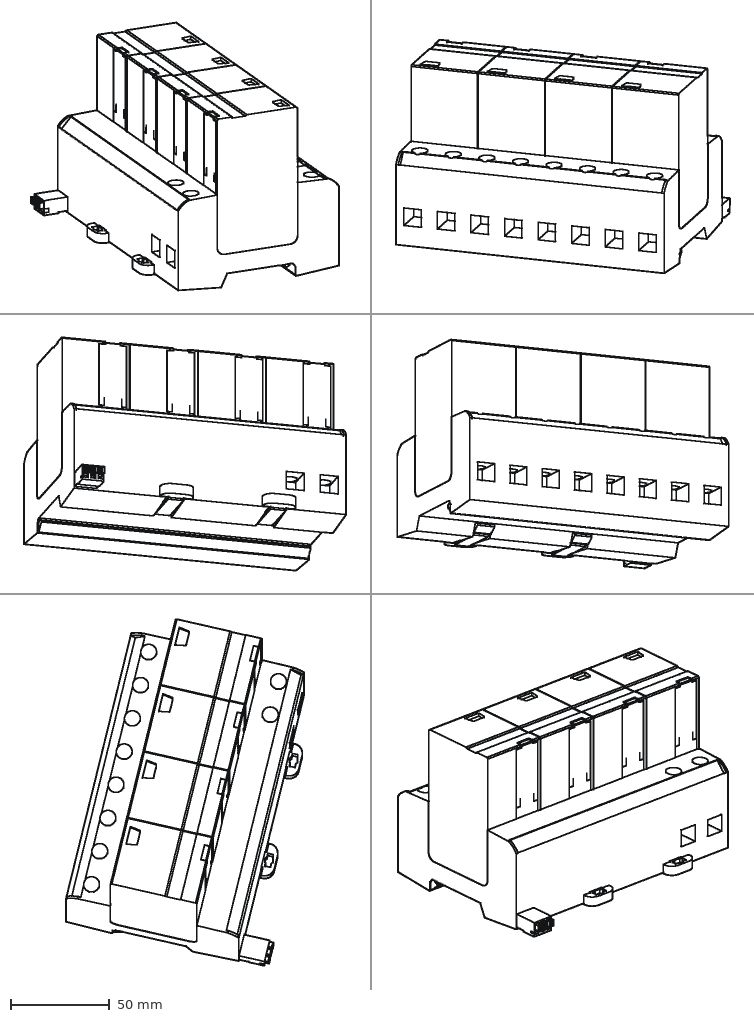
import cadquery as cq


LENGTH = 144.0
HALF_DEPTH = 45.0
HEIGHT = 90.7
SHOULDER_Z = 44.8
DECK_EDGE_Z = 49.5
DECK_INNER_Z = 50.1
CORNER_Y = 39.3
CORNER_MID = (42.6, 47.5)
FOOT_Z = 2.0
RAIL_BACK_Y = 20.9
RAIL_FRONT_Y = -21.0
RAIL_CEILING_Z = 7.0
RAIL_FRONT_TOP_Y = -17.5
RAIL_BACK_TOP_Y = 19.2
RAIL_BACK_KNEE_Z = 4.9

FLANGE = 1.3
BEVEL_TOP_Z = 49.2
FRONT_BEVEL = [(-38.3, BEVEL_TOP_Z), (-43.8, 43.2), (-HALF_DEPTH, SHOULDER_Z)]
BACK_BEVEL = [(37.6, BEVEL_TOP_Z), (42.6, 42.6), (HALF_DEPTH, SHOULDER_Z)]

MODULE_COUNT = 4
PITCH = LENGTH / MODULE_COUNT
MODULE_INSET = 0.22
MODULE_BACK_Y = 21.9
MODULE_FRONT_Y = -23.2
MODULE_FLOOR_Z = 17.5
MODULE_CORNER_R = 4.2
TOP_CHAMFER = 0.7
DIP_BACK_Y = -6.5
DIP_FRONT_Y = -14.7
DIP_SLOPE = 1.0
DIP_DEPTH = 0.6

PANEL_X = (19.7, 34.3)
PANEL_DEPTH = 0.3
CAP_DEPTH = 0.1
PANEL_TOP_Z = 89.0
CAP_Z = 56.2
CAP_TAB_X = (22.5, 31.7)
CAP_TAB_TOP_Z = 60.3
CAP_TAB_BEVEL = 1.2
NOTCH_X = (23.2, 31.1)
NOTCH_BACK_Y = -19.9
NOTCH_EDGE_Y = -22.3
NOTCH_BACK_Z = 90.1
NOTCH_FRONT_Z = 89.7

WINDOW_BACK_X = (22.3, 31.8)
WINDOW_FRONT_X = (23.2, 31.0)
WINDOW_Y = (13.5, 19.0)
WINDOW_DEPTH = 1.7
WINDOW_CORNER_R = 0.9

TERMINAL_PITCH = PITCH / 2
TERMINAL_COUNT = 2 * MODULE_COUNT
FRONT_TERMINALS = (6, 7)
SCREW_Y = 33.8
SCREW_R = 4.0
WIRE_SIZE = 9.4
WIRE_Z = 17.4
WIRE_DEPTH = HALF_DEPTH - SCREW_Y + SCREW_R

CLIP_X = (53.9, 108.0)
CLIP_WIDTH = 17.3
CLIP_FRONT_Y = -51.7
CLIP_CORNER_R = 5.0
CLIP_TOP_Z = 7.2
CLIP_GAP = 0.7
CLIP_NECK_WIDTH = 8.0
CLIP_HOLE_Y = -48.1
CLIP_HOLE_R = 2.2
CLIP_SLOT = (6.9, 2.9)
CLIP_HOLE_DEPTH = 4.3
HOOK_WIDTH = 9.5
TONGUE_WIDTH = 8.0
TONGUE_Z = 1.0
CLIP_HOOK = [
    (RAIL_FRONT_Y, FOOT_Z),
    (-19.6, FOOT_Z),
    (-15.1, 4.8),
    (-15.1, 5.8),
    (-15.8, 6.3),
    (RAIL_FRONT_Y, 6.3),
]

FIXED_HOOK = [
    (21.3, 0.5),
    (20.6, 0.5),
    (15.8, 4.3),
    (15.8, 5.2),
    (17.7, 6.0),
    (17.7, RAIL_CEILING_Z),
    (21.3, RAIL_CEILING_Z),
]
FIXED_HOOK_INSET = 0.7

PLUG_X = (0.5, 12.0)
PLUG_FRONT_Y = -58.3
PLUG_Z = (2.5, 10.5)
PLUG_EDGE_Y = -55.5
PLUG_EDGE_DROP = 0.1
PLUG_STEP_Y = -50.1
PLUG_STEP_Z = 3.0
PLUG_GROOVE_Y = -55.7
PLUG_GROOVE_Z = (4.0, 4.6)
PLUG_GROOVE_DEPTH = 0.3
LEVER_X = (2.5, 6.3, 10.2)
LEVER_WIDTH = 2.7
LEVER_TIP_Y = -60.6
LEVER_Z = (6.0, 9.4)
LEVER_SLOT = 0.9
LEVER_SLOT_DEPTH = 0.6
PORT_WIDTH = 2.5
PORT_Z = (3.7, 5.8)
PORT_DEPTH = 2.9


def box(x_range, y_range, z_range):
    size = [high - low for low, high in (x_range, y_range, z_range)]
    corner = (x_range[0], y_range[0], z_range[0])
    return cq.Workplane("XY").box(*size, centered=False).translate(corner)


def around(middle, width):
    return (middle - width / 2, middle + width / 2)


def prism(points, x_range):
    """Extrude a closed Y-Z outline along X."""
    outline = cq.Workplane("YZ", origin=(x_range[0], 0, 0)).polyline(points).close()
    return outline.extrude(x_range[1] - x_range[0])


def make_housing():
    mid_y, mid_z = CORNER_MID
    outline = (
        cq.Workplane("YZ")
        .moveTo(RAIL_BACK_Y, 0)
        .lineTo(HALF_DEPTH, FOOT_Z)
        .lineTo(HALF_DEPTH, SHOULDER_Z)
        .threePointArc((mid_y, mid_z), (CORNER_Y, DECK_EDGE_Z))
        .lineTo(MODULE_BACK_Y, DECK_INNER_Z)
        .lineTo(MODULE_FRONT_Y, DECK_INNER_Z)
        .lineTo(-CORNER_Y, DECK_EDGE_Z)
        .threePointArc((-mid_y, mid_z), (-HALF_DEPTH, SHOULDER_Z))
        .lineTo(-HALF_DEPTH, FOOT_Z)
        .lineTo(RAIL_FRONT_Y, 0)
        .lineTo(RAIL_FRONT_TOP_Y, RAIL_CEILING_Z)
        .lineTo(RAIL_BACK_TOP_Y, RAIL_CEILING_Z)
        .lineTo(RAIL_BACK_Y, RAIL_BACK_KNEE_Z)
        .close()
    )
    return outline.extrude(LENGTH)


def edge_recess(bevel):
    """Cutter that turns a rounded deck corner into a bevel with a groove behind the wall."""
    inner_y = bevel[0][0]
    outer_y = bevel[-1][0]
    points = bevel + [(outer_y, DECK_INNER_Z), (inner_y, DECK_INNER_Z)]
    return prism(points, (FLANGE, LENGTH - FLANGE))


def module_block(x_range):
    """Module body: rounded at the bottom and chamfered along the top edges."""
    y_range = (MODULE_FRONT_Y, MODULE_BACK_Y)
    block = box(x_range, y_range, (MODULE_FLOOR_Z, HEIGHT))
    block = block.faces("<Z").edges("|X").fillet(MODULE_CORNER_R)
    return block.faces(">Z").edges("|X").chamfer(TOP_CHAMFER)


def label_panel(start):
    """Panel recess with a notch at the top and a shallower cap with a bevelled tab below."""
    front = MODULE_FRONT_Y
    panel_x = (start + PANEL_X[0], start + PANEL_X[1])
    notch_x = (start + NOTCH_X[0], start + NOTCH_X[1])
    tab_x = (start + CAP_TAB_X[0], start + CAP_TAB_X[1])
    recess_y = (front, front + PANEL_DEPTH)
    recess = box(panel_x, recess_y, (CAP_Z, PANEL_TOP_Z))
    notch = prism(
        [
            (front, PANEL_TOP_Z),
            (front + PANEL_DEPTH, PANEL_TOP_Z),
            (front + PANEL_DEPTH, NOTCH_FRONT_Z),
            (NOTCH_EDGE_Y, NOTCH_BACK_Z),
            (NOTCH_BACK_Y, NOTCH_BACK_Z),
            (NOTCH_BACK_Y, HEIGHT),
            (front, HEIGHT),
        ],
        notch_x,
    )
    tab = prism(
        [
            (front + CAP_DEPTH, CAP_Z),
            (front + CAP_DEPTH, CAP_TAB_TOP_Z - CAP_TAB_BEVEL),
            (front + PANEL_DEPTH, CAP_TAB_TOP_Z),
            (front + PANEL_DEPTH, CAP_Z),
        ],
        tab_x,
    )
    cap = box(panel_x, (front, front + CAP_DEPTH), (DECK_INNER_Z, PANEL_TOP_Z))
    return recess.union(notch).cut(tab).union(cap)


def indicator_window(start):
    front_y, back_y = WINDOW_Y
    outline = [
        (start + WINDOW_BACK_X[0], back_y),
        (start + WINDOW_BACK_X[1], back_y),
        (start + WINDOW_FRONT_X[1], front_y),
        (start + WINDOW_FRONT_X[0], front_y),
    ]
    plane = cq.Workplane("XY", origin=(0, 0, HEIGHT - WINDOW_DEPTH))
    window = plane.polyline(outline).close().extrude(WINDOW_DEPTH)
    return window.edges("|Z").edges("<Y").fillet(WINDOW_CORNER_R)


def make_module(start):
    x_range = (start + MODULE_INSET, start + PITCH - MODULE_INSET)
    dip = prism(
        [
            (DIP_BACK_Y, HEIGHT),
            (DIP_BACK_Y - DIP_SLOPE, HEIGHT - DIP_DEPTH),
            (DIP_FRONT_Y, HEIGHT - DIP_DEPTH),
            (DIP_FRONT_Y, HEIGHT),
        ],
        x_range,
    )
    module = module_block(x_range).cut(dip)
    return module.cut(label_panel(start)).cut(indicator_window(start))


def terminal(index, side):
    """Screw shaft and wire entry; side is 1 at the back and -1 at the front."""
    x = (index + 0.5) * TERMINAL_PITCH
    shaft = cq.Workplane("XY", origin=(x, side * SCREW_Y, WIRE_Z))
    shaft = shaft.circle(SCREW_R).extrude(HEIGHT - WIRE_Z)
    entry_y = sorted((side * HALF_DEPTH, side * (HALF_DEPTH - WIRE_DEPTH)))
    return shaft.union(box(around(x, WIRE_SIZE), entry_y, around(WIRE_Z, WIRE_SIZE)))


def clip_channel(x):
    y_range = (-HALF_DEPTH, RAIL_FRONT_TOP_Y)
    return box(around(x, HOOK_WIDTH), y_range, (0, FOOT_Z))


def make_clip(x):
    """Sliding clip: slotted pull tab, tongue under the housing and front rail hook."""
    tab_y = (CLIP_FRONT_Y, -HALF_DEPTH - CLIP_GAP)
    tab = box(around(x, CLIP_WIDTH), tab_y, (FOOT_Z, CLIP_TOP_Z))
    tab = tab.edges("|Z").edges("<Y").fillet(CLIP_CORNER_R)
    hole = cq.Workplane("XY", origin=(x, CLIP_HOLE_Y, CLIP_TOP_Z - CLIP_HOLE_DEPTH))
    tab = tab.cut(hole.circle(CLIP_HOLE_R).extrude(CLIP_HOLE_DEPTH))
    tab = tab.cut(hole.rect(*CLIP_SLOT).extrude(CLIP_HOLE_DEPTH))
    neck_y = (-HALF_DEPTH - CLIP_GAP, -HALF_DEPTH)
    tab = tab.union(box(around(x, CLIP_NECK_WIDTH), neck_y, (FOOT_Z, CLIP_TOP_Z)))
    tongue_y = (-HALF_DEPTH, RAIL_FRONT_Y)
    tongue = box(around(x, TONGUE_WIDTH), tongue_y, (TONGUE_Z, FOOT_Z))
    hook = prism(CLIP_HOOK, around(x, HOOK_WIDTH))
    return tab.union(tongue).union(hook)


def make_fixed_hook():
    return prism(FIXED_HOOK, (FIXED_HOOK_INSET, LENGTH - FIXED_HOOK_INSET))


def make_connector():
    bottom, top = PLUG_Z
    root_y = -HALF_DEPTH
    plug = prism(
        [
            (root_y, PLUG_STEP_Z),
            (root_y, top),
            (PLUG_EDGE_Y, top),
            (PLUG_FRONT_Y, top - PLUG_EDGE_DROP),
            (PLUG_FRONT_Y, bottom),
            (PLUG_STEP_Y, bottom),
            (PLUG_STEP_Y, PLUG_STEP_Z),
        ],
        PLUG_X,
    )
    groove_x = (PLUG_X[0], PLUG_X[0] + PLUG_GROOVE_DEPTH)
    plug = plug.cut(box(groove_x, (PLUG_FRONT_Y, PLUG_GROOVE_Y), PLUG_GROOVE_Z))
    for x in LEVER_X:
        plug = plug.union(box(around(x, LEVER_WIDTH), (LEVER_TIP_Y, PLUG_FRONT_Y), LEVER_Z))
        slot_y = (LEVER_TIP_Y, LEVER_TIP_Y + LEVER_SLOT_DEPTH)
        plug = plug.cut(box(around(x, LEVER_SLOT), slot_y, LEVER_Z))
        port_y = (PLUG_FRONT_Y, PLUG_FRONT_Y + PORT_DEPTH)
        plug = plug.cut(box(around(x, PORT_WIDTH), port_y, PORT_Z))
    return plug


result = make_housing()
for bevel in (FRONT_BEVEL, BACK_BEVEL):
    result = result.cut(edge_recess(bevel))

result = result.cut(module_block((0, LENGTH)))
for number in range(MODULE_COUNT):
    result = result.union(make_module(number * PITCH))

for index in range(TERMINAL_COUNT):
    result = result.cut(terminal(index, 1))
for index in FRONT_TERMINALS:
    result = result.cut(terminal(index, -1))

for x in CLIP_X:
    result = result.cut(clip_channel(x)).union(make_clip(x))

result = result.union(make_fixed_hook()).union(make_connector())